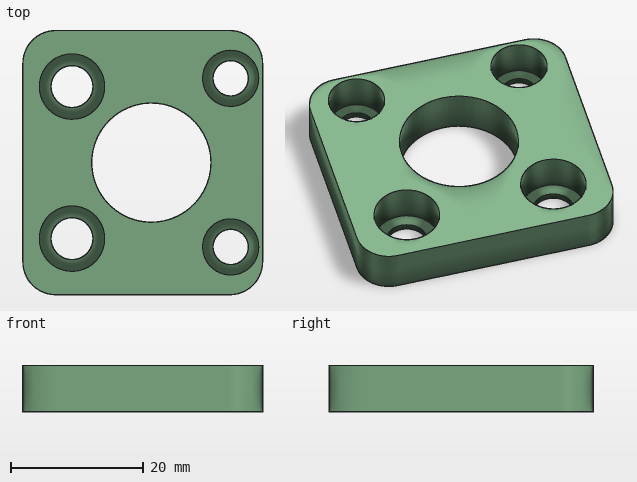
import cadquery as cq

plate_length_x = 36.3
plate_width_y = 40.0
plate_thickness = 7.0
corner_radius = 5.0
plate_center_x = -1.3
bore_diameter = 18.0

screw_offset_x = 12.0

large_pair_spacing = 23.0
large_hole_diameter = 6.3
large_counterbore_diameter = 9.9
large_counterbore_depth = 6.0

small_pair_spacing = 25.5
small_hole_diameter = 5.3
small_counterbore_diameter = 8.5
small_counterbore_depth = 6.0


def make_plate():
    """Rectangular plate with rounded vertical corners."""
    return (
        cq.Workplane("XY")
        .center(plate_center_x, 0)
        .rect(plate_length_x, plate_width_y)
        .extrude(plate_thickness)
        .edges("|Z")
        .fillet(corner_radius)
    )


def cut_bore(body):
    """Central through bore."""
    bore = cq.Workplane("XY").circle(bore_diameter / 2).extrude(plate_thickness)
    return body.cut(bore)


def cut_screw_pair(body, x, spacing, hole_diameter, counterbore_diameter, counterbore_depth):
    """Two through holes, symmetric about the X axis, counterbored from the top."""
    centers = [(x, -spacing / 2), (x, spacing / 2)]
    return (
        body.cut(
            cq.Workplane("XY")
            .pushPoints(centers)
            .circle(hole_diameter / 2)
            .extrude(plate_thickness)
        )
        .cut(
            cq.Workplane("XY", origin=(0, 0, plate_thickness))
            .pushPoints(centers)
            .circle(counterbore_diameter / 2)
            .extrude(-counterbore_depth)
        )
    )


result = cut_bore(make_plate())
result = cut_screw_pair(
    result,
    -screw_offset_x,
    large_pair_spacing,
    large_hole_diameter,
    large_counterbore_diameter,
    large_counterbore_depth,
)
result = cut_screw_pair(
    result,
    screw_offset_x,
    small_pair_spacing,
    small_hole_diameter,
    small_counterbore_diameter,
    small_counterbore_depth,
)